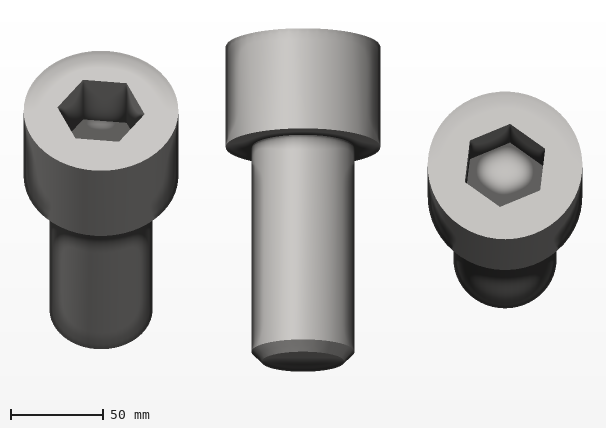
import cadquery as cq
import math

shank_diameter = 56.0
shank_length = 120.0
tip_chamfer = 5.5

relief_diameter = 55.4
relief_length = 1.0

head_diameter = 1.5 * shank_diameter
head_height = shank_diameter

socket_across_flats = 41.15
socket_depth = 34.0


def make_head():
    return cq.Workplane("XY").circle(head_diameter / 2).extrude(head_height)


def make_shank():
    """Relief cylinder under the head, then the full shank with a chamfered tip."""
    relief = cq.Workplane("XY").circle(relief_diameter / 2).extrude(-relief_length)
    shank = (
        cq.Workplane("XY", origin=(0, 0, -relief_length))
        .circle(shank_diameter / 2)
        .extrude(relief_length - shank_length)
        .faces("<Z")
        .chamfer(tip_chamfer)
    )
    return relief.union(shank)


def make_socket():
    """Hexagonal drive recess with two of its corners on the X axis."""
    across_corners = socket_across_flats / math.cos(math.pi / 6)
    return (
        cq.Workplane("XY", origin=(0, 0, head_height))
        .polygon(6, across_corners)
        .extrude(-socket_depth)
    )


result = make_head().union(make_shank()).cut(make_socket())